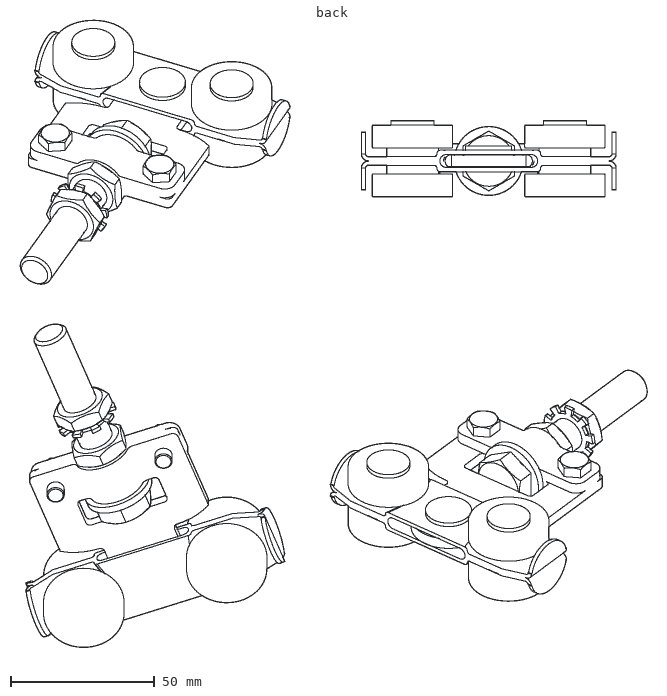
import cadquery as cq
import math


SHEET_THICKNESS = 1.5
SHEET_WIDTH = 25.0
TAPER_START_X = 33.3
RAISED_GAP = 2.25
STEP_X = 18.0
STEP_RADIUS = 1.1
HOLLOW_INSET = 1.0
HOLLOW_RADIUS = 2.2
RAISED_END_RADIUS = 42.0

CARRIAGE_LENGTH = 88.6
FLAP_RADIUS = 10.0
BEND_INNER_RADIUS = 1.0
BEND_OUTER_RADIUS = BEND_INNER_RADIUS + SHEET_THICKNESS
FLAP_OUTER_X = CARRIAGE_LENGTH / 2
BEND_START_X = FLAP_OUTER_X - BEND_OUTER_RADIUS

WHEEL_X = 26.5
WHEEL_DIAMETER = 28.0
WHEEL_INNER_Z = 4.5
WHEEL_OUTER_Z = 12.5
WHEEL_EDGE_FILLET = 0.4
HUB_DIAMETER = 18.0
AXLE_HEAD_DIAMETER = 15.0
HEAD_HEIGHT = 1.5
RIVET_HEAD_DIAMETER = 16.0

FORK_THICKNESS = 4.0
FORK_WIDTH = 55.0
FORK_END_Y = -53.0
NECK_WIDTH = 26.0
NECK_FILLET = 1.5
SHOULDER_Y = -17.2
SHOULDER_RADIUS = 25.0
FORK_CORNER_RADIUS = 2.0
WINDOW_WIDTH = 30.0
WINDOW_TOP_Y = -27.3
WINDOW_CORNER_RADIUS = 1.5

CLAMP_THICKNESS = 4.0
CLAMP_LENGTH = 15.0
CLAMP_CORNER_RADIUS = 4.0
CLAMP_REAR_Y = FORK_END_Y + CLAMP_LENGTH
CLAMP_TOP_Z = FORK_THICKNESS / 2 + CLAMP_THICKNESS
SLEEVE_DIAMETER = 20.0
SLEEVE_TOP_FILLET = 1.0
SLEEVE_BOTTOM_FILLET = 2.0

SCREW_X = 20.0
SCREW_Y = FORK_END_Y + CLAMP_LENGTH / 2
SCREW_DIAMETER = 6.0
SCREW_HEAD_FLATS = 10.0
SCREW_HEAD_FACE = 9.8
SCREW_HEAD_HEIGHT = 4.0
SCREW_END_Z = -6.0
SCREW_END_CHAMFER = 0.4

BOLT_DIAMETER = 12.0
BOLT_END_Y = WHEEL_DIAMETER / 2 - 119.7
BOLT_END_CHAMFER = 1.0
HEX_FLATS = 18.0
HEX_FACE_DIAMETER = 16.63
BOLT_HEAD_FACE_DIAMETER = 17.6
WASHER_DIAMETER = 24.0
WASHER_THICKNESS = 2.5
BOLT_HEAD_HEIGHT = 6.9
HEAD_COLLAR_HEIGHT = 0.3
NUT_HEIGHT = 6.0
HEAD_CORNER_ANGLE = 30.0
SLEEVE_NUT_CORNER_ANGLE = 34.8
LOCK_NUT_CORNER_ANGLE = 9.0
CHAMFER_SLOPE = 30.0

TOOTH_COUNT = 9
TOOTH_ANGLE = 17.5
FIRST_TOOTH_ANGLE = 10.0
TOOTH_TIP_RADIUS = 10.7
TOOTH_ROOT_RADIUS = 8.0
LOCK_WASHER_REAR_Y = -67.7
LOCK_WASHER_THICKNESS = 1.35


def cylinder(diameter, z_start, z_end, x=0.0, y=0.0):
    """Upright cylinder between two heights."""
    return cq.Workplane("XY", origin=(x, y, z_start)).circle(diameter / 2).extrude(z_end - z_start)


def along_bolt(body, y):
    """Lay a body built upward from Z = 0 along the bolt, starting at y and running toward -Y."""
    return body.rotate((0, 0, 0), (1, 0, 0), 90).translate((0, y, 0))


def hex_prism(flats, height, face_diameter, corner_angle, chamfer_both_ends):
    """Upright hexagon whose corners are turned off conically, at the top or at both ends."""
    across_corners = flats / math.cos(math.radians(30))
    inset = (across_corners - face_diameter) / 2
    drop = inset * math.tan(math.radians(CHAMFER_SLOPE))
    radius = across_corners / 2
    profile = cq.Workplane("XZ").moveTo(0, 0)
    if chamfer_both_ends:
        profile = profile.lineTo(radius - inset, 0).lineTo(radius, drop)
    else:
        profile = profile.lineTo(radius, 0)
    profile = profile.lineTo(radius, height - drop).lineTo(radius - inset, height).lineTo(0, height)
    envelope = profile.close().revolve(360, (0, 0, 0), (0, 1, 0))
    prism = cq.Workplane("XY").polygon(6, across_corners).extrude(height)
    return prism.rotate((0, 0, 0), (0, 0, 1), corner_angle).intersect(envelope)


def waisted_block(height, edge_x):
    """Block from Z = 0 with inward-arched ends; edge_x is its half length on the sheet's long sides."""
    arc_centre_x = edge_x + math.sqrt(RAISED_END_RADIUS**2 - (SHEET_WIDTH / 2) ** 2)
    reach_y = SHEET_WIDTH
    waist_x = arc_centre_x - RAISED_END_RADIUS
    end_x = arc_centre_x - math.sqrt(RAISED_END_RADIUS**2 - reach_y**2)
    return (
        cq.Workplane("XY")
        .moveTo(-end_x, -reach_y)
        .lineTo(end_x, -reach_y)
        .threePointArc((waist_x, 0), (end_x, reach_y))
        .lineTo(-end_x, reach_y)
        .threePointArc((-waist_x, 0), (-end_x, -reach_y))
        .close()
        .extrude(height)
    )


def end_flap():
    """Quarter bend and round flap at the +X end of the upper sheet."""
    profile = (
        cq.Workplane("XZ", origin=(0, FLAP_RADIUS, 0))
        .moveTo(BEND_START_X, 0)
        .radiusArc((FLAP_OUTER_X, BEND_OUTER_RADIUS), -BEND_OUTER_RADIUS)
        .lineTo(FLAP_OUTER_X, FLAP_RADIUS)
        .lineTo(FLAP_OUTER_X - SHEET_THICKNESS, FLAP_RADIUS)
        .lineTo(FLAP_OUTER_X - SHEET_THICKNESS, BEND_OUTER_RADIUS)
        .radiusArc((BEND_START_X, SHEET_THICKNESS), BEND_INNER_RADIUS)
        .close()
        .extrude(2 * FLAP_RADIUS)
    )
    disc = cq.Workplane("YZ").circle(FLAP_RADIUS).extrude(CARRIAGE_LENGTH)
    bend_band = cq.Workplane("XY").box(2 * CARRIAGE_LENGTH, 2 * FLAP_RADIUS, 2 * BEND_OUTER_RADIUS)
    return profile.intersect(disc.union(bend_band))


def upper_sheet():
    half_width = SHEET_WIDTH / 2
    outline = (
        cq.Workplane("XY")
        .moveTo(-TAPER_START_X, half_width)
        .lineTo(TAPER_START_X, half_width)
        .lineTo(BEND_START_X, FLAP_RADIUS)
        .lineTo(BEND_START_X, -FLAP_RADIUS)
        .lineTo(TAPER_START_X, -half_width)
        .lineTo(-TAPER_START_X, -half_width)
        .lineTo(-BEND_START_X, -FLAP_RADIUS)
        .lineTo(-BEND_START_X, FLAP_RADIUS)
        .close()
    )
    raised_top = RAISED_GAP + SHEET_THICKNESS
    blank = outline.extrude(raised_top)
    flat = cq.Workplane("XY").box(
        CARRIAGE_LENGTH, 2 * SHEET_WIDTH, SHEET_THICKNESS, centered=(True, True, False)
    )
    hump = waisted_block(raised_top, STEP_X)
    pressing = flat.union(hump).edges("%CIRCLE").fillet(STEP_RADIUS)
    hollow = waisted_block(RAISED_GAP, STEP_X - HOLLOW_INSET)
    hollow = hollow.edges("%CIRCLE and >Z").fillet(HOLLOW_RADIUS)
    sheet = blank.intersect(pressing).cut(hollow)
    flap = end_flap()
    return sheet.union(flap).union(flap.mirror("YZ"))


def wheel_set(x):
    """One axle with its hub, its two wheels and the head on top."""
    wheel = cylinder(WHEEL_DIAMETER, WHEEL_INNER_Z, WHEEL_OUTER_Z, x).edges().fillet(WHEEL_EDGE_FILLET)
    hub = cylinder(HUB_DIAMETER, -WHEEL_INNER_Z, WHEEL_INNER_Z, x)
    head = cylinder(AXLE_HEAD_DIAMETER, WHEEL_OUTER_Z, WHEEL_OUTER_Z + HEAD_HEIGHT, x)
    return hub.union(wheel).union(wheel.mirror("XY")).union(head)


def carriage():
    sheet = upper_sheet()
    body = sheet.union(sheet.mirror("XY"))
    for x in (-WHEEL_X, WHEEL_X):
        body = body.union(wheel_set(x))
    sheet_outer_z = RAISED_GAP + SHEET_THICKNESS
    rivet = cylinder(RIVET_HEAD_DIAMETER, -sheet_outer_z, sheet_outer_z + HEAD_HEIGHT)
    return body.union(rivet)


def fork():
    """Flat fork: rounded neck under the carriage, arched shoulders and a window for the bolt head."""
    half_neck = NECK_WIDTH / 2
    half_width = FORK_WIDTH / 2
    arch_start_x = half_neck + NECK_FILLET
    arch_run = half_width - arch_start_x
    arch_end_y = SHOULDER_Y - SHOULDER_RADIUS + math.sqrt(SHOULDER_RADIUS**2 - arch_run**2)
    plate = (
        cq.Workplane("XY", origin=(0, 0, -FORK_THICKNESS / 2))
        .moveTo(-half_neck, 0)
        .threePointArc((0, half_neck), (half_neck, 0))
        .lineTo(half_neck, SHOULDER_Y + NECK_FILLET)
        .radiusArc((arch_start_x, SHOULDER_Y), -NECK_FILLET)
        .radiusArc((half_width, arch_end_y), SHOULDER_RADIUS)
        .lineTo(half_width, FORK_END_Y)
        .lineTo(-half_width, FORK_END_Y)
        .lineTo(-half_width, arch_end_y)
        .radiusArc((-arch_start_x, SHOULDER_Y), SHOULDER_RADIUS)
        .radiusArc((-half_neck, SHOULDER_Y + NECK_FILLET), -NECK_FILLET)
        .close()
        .extrude(FORK_THICKNESS)
    )
    plate = plate.edges("|Z and <Y").fillet(FORK_CORNER_RADIUS)
    window_length = WINDOW_TOP_Y - CLAMP_REAR_Y
    window = (
        cq.Workplane("XY")
        .center(0, (WINDOW_TOP_Y + CLAMP_REAR_Y) / 2)
        .rect(WINDOW_WIDTH, window_length)
        .extrude(FORK_THICKNESS, both=True)
        .edges("|Z")
        .fillet(WINDOW_CORNER_RADIUS)
    )
    return plate.cut(window)


def sleeve_fillet(surface_z, fillet_radius):
    """Prism filling the two corners between the sleeve and a level face, rounded by fillet_radius.

    surface_z is the height of the face; its sign tells on which side of the plates it lies.
    """
    side = math.copysign(1, surface_z)
    sleeve_radius = SLEEVE_DIAMETER / 2
    centre_z = abs(surface_z) + fillet_radius
    centre_x = math.sqrt((sleeve_radius + fillet_radius) ** 2 - centre_z**2)
    touch = sleeve_radius / (sleeve_radius + fillet_radius)
    web = (
        cq.Workplane("XZ", origin=(0, CLAMP_REAR_Y, 0))
        .moveTo(-centre_x, 0)
        .lineTo(centre_x, 0)
        .lineTo(centre_x, surface_z)
        .lineTo(centre_x * touch, side * centre_z * touch)
        .lineTo(-centre_x * touch, side * centre_z * touch)
        .lineTo(-centre_x, surface_z)
        .close()
        .extrude(CLAMP_LENGTH)
    )
    for x in (-centre_x, centre_x):
        rounding = (
            cq.Workplane("XZ", origin=(x, CLAMP_REAR_Y, side * centre_z))
            .circle(fillet_radius)
            .extrude(CLAMP_LENGTH)
        )
        web = web.cut(rounding)
    return web


def clamp():
    plate = (
        cq.Workplane("XY", origin=(0, SCREW_Y, FORK_THICKNESS / 2))
        .rect(FORK_WIDTH, CLAMP_LENGTH)
        .extrude(CLAMP_THICKNESS)
        .edges("|Z")
        .fillet(CLAMP_CORNER_RADIUS)
    )
    sleeve = along_bolt(cylinder(SLEEVE_DIAMETER, 0, CLAMP_LENGTH), CLAMP_REAR_Y)
    top_fillets = sleeve_fillet(CLAMP_TOP_Z, SLEEVE_TOP_FILLET)
    bottom_fillets = sleeve_fillet(-FORK_THICKNESS / 2, SLEEVE_BOTTOM_FILLET)
    return plate.union(sleeve).union(top_fillets).union(bottom_fillets)


def clamp_screw(x):
    shank = cylinder(SCREW_DIAMETER, SCREW_END_Z, CLAMP_TOP_Z, x, SCREW_Y)
    shank = shank.faces("<Z").chamfer(SCREW_END_CHAMFER)
    head = hex_prism(SCREW_HEAD_FLATS, SCREW_HEAD_HEIGHT, SCREW_HEAD_FACE, 30, False)
    return shank.union(head.translate((x, SCREW_Y, CLAMP_TOP_Z)))


def lock_washer():
    """External-tooth lock washer, built upright."""
    body = cylinder(2 * TOOTH_ROOT_RADIUS, 0, LOCK_WASHER_THICKNESS)
    half_angle = math.radians(TOOTH_ANGLE / 2)
    tip_x = TOOTH_TIP_RADIUS * math.cos(half_angle)
    tip_y = TOOTH_TIP_RADIUS * math.sin(half_angle)
    tooth = (
        cq.Workplane("XY")
        .moveTo(0, 0)
        .lineTo(tip_x, -tip_y)
        .threePointArc((TOOTH_TIP_RADIUS, 0), (tip_x, tip_y))
        .close()
        .extrude(LOCK_WASHER_THICKNESS)
    )
    for index in range(TOOTH_COUNT):
        angle = FIRST_TOOTH_ANGLE + index * 360 / TOOTH_COUNT
        body = body.union(tooth.rotate((0, 0, 0), (0, 0, 1), angle))
    return body


def nut(corner_angle):
    return hex_prism(HEX_FLATS, NUT_HEIGHT, HEX_FACE_DIAMETER, corner_angle, True)


def hanger_bolt():
    washer_y = CLAMP_REAR_Y + WASHER_THICKNESS
    collar_y = washer_y + HEAD_COLLAR_HEIGHT
    shank = cylinder(BOLT_DIAMETER, 0, collar_y - BOLT_END_Y).faces(">Z").chamfer(BOLT_END_CHAMFER)
    collar = cylinder(HEX_FACE_DIAMETER, 0, HEAD_COLLAR_HEIGHT)
    washer = cylinder(WASHER_DIAMETER, 0, WASHER_THICKNESS)
    head = hex_prism(HEX_FLATS, BOLT_HEAD_HEIGHT, BOLT_HEAD_FACE_DIAMETER, HEAD_CORNER_ANGLE, False)
    head = head.rotate((0, 0, 0), (1, 0, 0), 180)
    bolt = along_bolt(shank, collar_y)
    bolt = bolt.union(along_bolt(head, collar_y))
    bolt = bolt.union(along_bolt(collar, collar_y))
    bolt = bolt.union(along_bolt(washer, washer_y))
    bolt = bolt.union(along_bolt(nut(SLEEVE_NUT_CORNER_ANGLE), FORK_END_Y))
    bolt = bolt.union(along_bolt(lock_washer(), LOCK_WASHER_REAR_Y))
    lock_nut_y = LOCK_WASHER_REAR_Y - LOCK_WASHER_THICKNESS
    return bolt.union(along_bolt(nut(LOCK_NUT_CORNER_ANGLE), lock_nut_y))


result = carriage().union(fork()).union(clamp()).union(hanger_bolt())
for screw_x in (-SCREW_X, SCREW_X):
    result = result.union(clamp_screw(screw_x))